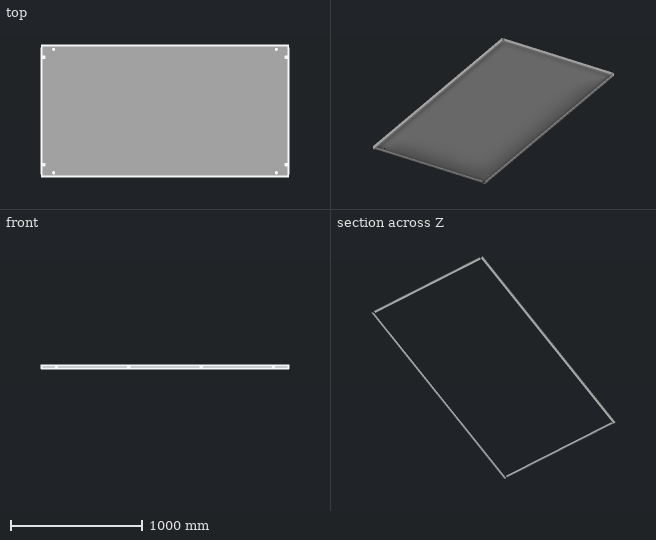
import cadquery as cq

PANEL_LENGTH = 1880.0
WIDTH = 1000.0
HEIGHT = 27.0

SHEET = 2.5
INNER_BEND = 0.01
OUTER_BEND = INNER_BEND + SHEET

LENGTH = PANEL_LENGTH + 2 * OUTER_BEND

LONG_LIP = 15.0

END_HEIGHT = 21.0
END_LIP = 18.0
END_WIDTH = 954.0

ROUND_HOLE_DIAMETER = 8.5
ROUND_HOLE_X = PANEL_LENGTH / 2 - 92.5
ROUND_HOLE_Y = WIDTH / 2 - 30.0
SQUARE_HOLE_SIDE = 13.0
SQUARE_HOLE_X = PANEL_LENGTH / 2 - 16.0
SQUARE_HOLE_Y = WIDTH / 2 - 91.0

WALL_HOLE_DIAMETER = 10.0
WALL_HOLE_COUNT = 4
WALL_HOLE_PITCH = 550.0
WALL_HOLE_Z = HEIGHT / 2

PAIR_HOLE_DIAMETER = 4.5
PAIR_CENTER_Y = 438.5
PAIR_PITCH = 25.0
PAIR_HOLE_Z = HEIGHT - END_HEIGHT / 2


def bent_channel(span, height, lip, length):
    """Channel bent down and then inward at both sides, with its bends running along X."""
    outer = cq.Workplane("XY").box(length, span, height).edges("|X").fillet(OUTER_BEND)
    inner = (
        cq.Workplane("XY")
        .box(length, span - 2 * SHEET, height - 2 * SHEET)
        .edges("|X")
        .fillet(INNER_BEND)
    )
    opening = (
        cq.Workplane("XY")
        .box(length, span - 2 * lip, 2 * OUTER_BEND)
        .translate((0, 0, -height / 2))
    )
    return outer.cut(inner).cut(opening).translate((0, 0, HEIGHT - height / 2))


def mirrored_points(x, y):
    """The point (x, y) and its mirror images about both axes."""
    return [(sign_x * x, sign_y * y) for sign_x in (-1, 1) for sign_y in (-1, 1)]


def panel_body():
    """Folded panel: long flanges, with the short flanges set between them."""
    long_channel = bent_channel(WIDTH, HEIGHT, LONG_LIP, PANEL_LENGTH)
    end_channel = bent_channel(LENGTH, END_HEIGHT, END_LIP, END_WIDTH)
    end_channel = end_channel.rotate((0, 0, 0), (0, 0, 1), 90)
    end_room = (
        cq.Workplane("XY")
        .pushPoints([(-LENGTH / 2, 0), (LENGTH / 2, 0)])
        .rect(2 * OUTER_BEND, END_WIDTH)
        .extrude(2 * HEIGHT)
    )
    return long_channel.cut(end_room).union(end_channel)


def top_hole_centers(x, y):
    """Workplane just under the top sheet, with a point at each of the four mirrored places."""
    return cq.Workplane("XY", origin=(0, 0, HEIGHT - OUTER_BEND)).pushPoints(mirrored_points(x, y))


def round_top_holes():
    """Round holes through the top panel only."""
    centers = top_hole_centers(ROUND_HOLE_X, ROUND_HOLE_Y)
    return centers.circle(ROUND_HOLE_DIAMETER / 2).extrude(2 * OUTER_BEND)


def square_top_holes():
    """Square holes through the top panel only."""
    centers = top_hole_centers(SQUARE_HOLE_X, SQUARE_HOLE_Y)
    return centers.rect(SQUARE_HOLE_SIDE, SQUARE_HOLE_SIDE).extrude(2 * OUTER_BEND)


def wall_holes():
    """Evenly spaced holes through both long walls."""
    first_x = -WALL_HOLE_PITCH * (WALL_HOLE_COUNT - 1) / 2
    points = [(first_x + i * WALL_HOLE_PITCH, WALL_HOLE_Z) for i in range(WALL_HOLE_COUNT)]
    return (
        cq.Workplane("XZ")
        .pushPoints(points)
        .circle(WALL_HOLE_DIAMETER / 2)
        .extrude(WIDTH, both=True)
    )


def end_wall_holes():
    """A pair of small holes near each end of both short walls."""
    half_pitch = PAIR_PITCH / 2
    hole_ys = [PAIR_CENTER_Y - half_pitch, PAIR_CENTER_Y + half_pitch]
    points = [(sign * y, PAIR_HOLE_Z) for sign in (-1, 1) for y in hole_ys]
    return (
        cq.Workplane("YZ")
        .pushPoints(points)
        .circle(PAIR_HOLE_DIAMETER / 2)
        .extrude(LENGTH, both=True)
    )


result = panel_body()
result = result.cut(round_top_holes())
result = result.cut(square_top_holes())
result = result.cut(wall_holes())
result = result.cut(end_wall_holes())